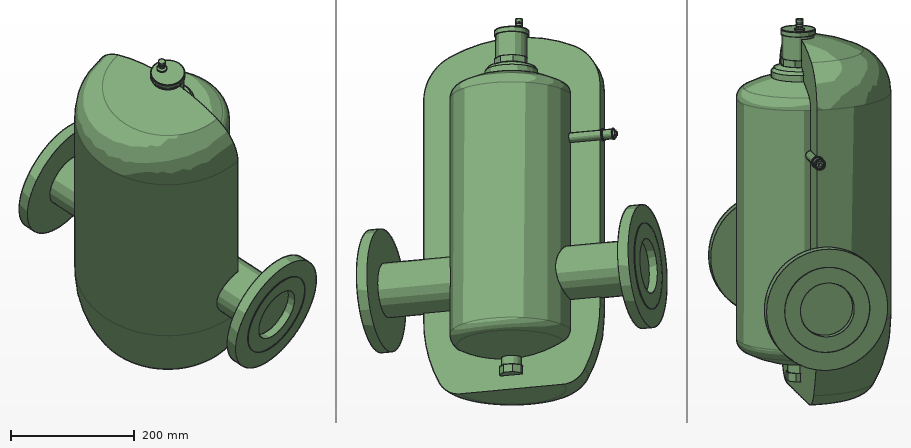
import cadquery as cq
import math


OVERALL_HEIGHT = 620.5
INSULATION_RADIUS = 150.0
INSULATION_BOTTOM_FLAT_RADIUS = 87.5
INSULATION_BOTTOM_KNUCKLE_RADIUS = 41.0
INSULATION_BOTTOM_KNUCKLE_TOP_Z = 22.0
INSULATION_WALL_BOTTOM_Z = 131.5
INSULATION_WALL_TOP_Z = 498.0
INSULATION_KNUCKLE_RADIUS = 76.5
INSULATION_DOME_EDGE_RADIUS = 105.5

VESSEL_RADIUS = 100.0
VESSEL_WALL_BOTTOM_Z = 92.0
VESSEL_WALL_TOP_Z = 488.0
VESSEL_KNUCKLE_RADIUS = 21.0
VESSEL_DOME_EDGE_RADIUS = 89.0

COLLAR_RADIUS = 43.5
COLLAR_WALL_TOP_Z = 533.5
COLLAR_SHOULDER_RADIUS = 39.0
COLLAR_SHOULDER_Z = 539.0
COLLAR_TOP_RADIUS = 28.0
COLLAR_TOP_Z = 543.5

PIPE_AXIS_Z = 185.5
PIPE_DIAMETER = 89.0
PIPE_RADIUS = PIPE_DIAMETER / 2
FLANGE_RADIUS = 100.0
FLANGE_THICKNESS = 18.0
RAISED_FACE_RADIUS = 70.0
RAISED_FACE_HEIGHT = 1.55
FACE_TO_FACE = 466.0
BORE_DEPTH = 13.5

VENT_NUT_ACROSS_FLATS = 52.0
VENT_NUT_HEIGHT = 11.0
VENT_TUBE_RADIUS = 26.0
VENT_CAP_RADIUS = 28.0
VENT_CAP_BOTTOM_Z = 594.0
VENT_CAP_TOP_Z = 602.5
VENT_CAP_CHAMFER = 1.0
BLEEDER_OFFSET = 12.5
BLEEDER_BASE_RADIUS = 8.0
BLEEDER_BASE_TOP_Z = 605.0
BLEEDER_STEM_RADIUS = 2.5
BLEEDER_HEAD_BOTTOM_Z = 609.0
BLEEDER_HEAD_RADIUS = 5.5
BLEEDER_GROOVE_RADIUS = 4.5
BLEEDER_GROOVE_BOTTOM_Z = 612.5
BLEEDER_GROOVE_TOP_Z = 615.0

DRAIN_RADIUS = 17.0
DRAIN_NUT_ACROSS_FLATS = 37.0
DRAIN_NUT_BOTTOM_Z = 23.5
DRAIN_NUT_TOP_Z = 37.0

VALVE_AXIS_Z = 413.0
VALVE_TIP_X = -179.5
VALVE_TIP_RADIUS = 3.0
VALVE_TIP_LENGTH = 2.5
VALVE_NOSE_RADIUS = 6.0
VALVE_NOSE_LENGTH = 3.0
VALVE_BODY_RADIUS = 8.0
VALVE_BODY_LENGTH = 15.5
VALVE_RIM_RADIUS = 9.0
VALVE_RIM_LENGTH = 1.0
VALVE_COLLAR_RADIUS = 10.0
VALVE_COLLAR_LENGTH = 2.5

OCTAGON_SIDES = 8


class DishedEnd:
    """Profile of a domed end: a knuckle arc tangent to the wall, then a dome tangent to the knuckle.

    Heights are measured from the end of the straight wall.
    """

    def __init__(self, wall_radius, knuckle_radius, dome_edge_radius):
        knuckle_centre = wall_radius - knuckle_radius
        cos_edge = (dome_edge_radius - knuckle_centre) / knuckle_radius
        edge_angle = math.acos(cos_edge)
        dome_radius = dome_edge_radius / cos_edge
        dome_centre_height = -knuckle_centre * math.tan(edge_angle)
        middle_angle = edge_angle / 2
        dome_middle_angle = (edge_angle + math.pi / 2) / 2

        self.knuckle_middle = (
            knuckle_centre + knuckle_radius * math.cos(middle_angle),
            knuckle_radius * math.sin(middle_angle),
        )
        self.dome_edge = (dome_edge_radius, knuckle_radius * math.sin(edge_angle))
        self.dome_middle = (
            dome_radius * math.cos(dome_middle_angle),
            dome_centre_height + dome_radius * math.sin(dome_middle_angle),
        )
        self.apex = (0, dome_centre_height + dome_radius)


def raised(point, wall_end_z):
    """A dished-end point placed above a wall that ends at wall_end_z."""
    return (point[0], wall_end_z + point[1])


def lowered(point, wall_end_z):
    """A dished-end point placed below a wall that ends at wall_end_z."""
    return (point[0], wall_end_z - point[1])


def cylinder_z(radius, bottom_z, top_z, x=0.0):
    return cq.Workplane("XY", origin=(x, 0, bottom_z)).circle(radius).extrude(top_z - bottom_z)


def cylinder_x(radius, start_x, length, axis_z):
    return cq.Workplane("YZ", origin=(start_x, 0, axis_z)).circle(radius).extrude(length)


def octagon_nut(across_flats, bottom_z, top_z):
    """Eight-sided nut on the Z axis with flats facing X and Y."""
    corner_diameter = across_flats / math.cos(math.pi / OCTAGON_SIDES)
    half_side_angle = 180 / OCTAGON_SIDES
    nut = cq.Workplane("XY").polygon(OCTAGON_SIDES, corner_diameter).extrude(top_z - bottom_z)
    return nut.rotate((0, 0, 0), (0, 0, 1), half_side_angle).translate((0, 0, bottom_z))


def make_vessel_tank():
    end = DishedEnd(VESSEL_RADIUS, VESSEL_KNUCKLE_RADIUS, VESSEL_DOME_EDGE_RADIUS)
    bottom_z = VESSEL_WALL_BOTTOM_Z
    top_z = VESSEL_WALL_TOP_Z
    return (
        cq.Workplane("XZ")
        .moveTo(*lowered(end.apex, bottom_z))
        .threePointArc(lowered(end.dome_middle, bottom_z), lowered(end.dome_edge, bottom_z))
        .threePointArc(lowered(end.knuckle_middle, bottom_z), (VESSEL_RADIUS, bottom_z))
        .lineTo(VESSEL_RADIUS, top_z)
        .threePointArc(raised(end.knuckle_middle, top_z), raised(end.dome_edge, top_z))
        .threePointArc(raised(end.dome_middle, top_z), raised(end.apex, top_z))
        .close()
        .revolve(360, (0, 0, 0), (0, 1, 0))
    )


def make_vessel_collar():
    return (
        cq.Workplane("XZ")
        .moveTo(0, VESSEL_WALL_TOP_Z)
        .lineTo(COLLAR_RADIUS, VESSEL_WALL_TOP_Z)
        .lineTo(COLLAR_RADIUS, COLLAR_WALL_TOP_Z)
        .lineTo(COLLAR_SHOULDER_RADIUS, COLLAR_SHOULDER_Z)
        .lineTo(COLLAR_TOP_RADIUS, COLLAR_TOP_Z)
        .lineTo(0, COLLAR_TOP_Z)
        .close()
        .revolve(360, (0, 0, 0), (0, 1, 0))
    )


def make_flanged_pipe():
    """Pipe along -X from the vessel axis, ending in a raised-face flange with a blind bore."""
    end_x = -FACE_TO_FACE / 2
    flange_face_x = end_x + RAISED_FACE_HEIGHT
    pipe = cylinder_x(PIPE_RADIUS, flange_face_x, -flange_face_x, PIPE_AXIS_Z)
    flange = cylinder_x(FLANGE_RADIUS, flange_face_x, FLANGE_THICKNESS, PIPE_AXIS_Z)
    raised_face = cylinder_x(RAISED_FACE_RADIUS, end_x, RAISED_FACE_HEIGHT, PIPE_AXIS_Z)
    bore = cylinder_x(PIPE_RADIUS, end_x, BORE_DEPTH, PIPE_AXIS_Z)
    return pipe.union(flange).union(raised_face).cut(bore)


def make_vessel():
    vessel = make_vessel_tank().union(make_vessel_collar())
    pipe = make_flanged_pipe()
    return vessel.union(pipe).union(pipe.mirror("YZ"))


def make_bleeder():
    """Small grooved screw that stands off-centre on the vent cap."""
    steps = [
        (BLEEDER_BASE_RADIUS, BLEEDER_BASE_TOP_Z),
        (BLEEDER_STEM_RADIUS, BLEEDER_HEAD_BOTTOM_Z),
        (BLEEDER_HEAD_RADIUS, BLEEDER_GROOVE_BOTTOM_Z),
        (BLEEDER_GROOVE_RADIUS, BLEEDER_GROOVE_TOP_Z),
        (BLEEDER_HEAD_RADIUS, OVERALL_HEIGHT),
    ]
    bleeder = cq.Workplane("XY")
    bottom_z = VENT_CAP_TOP_Z
    for radius, top_z in steps:
        bleeder = bleeder.union(cylinder_z(radius, bottom_z, top_z, -BLEEDER_OFFSET))
        bottom_z = top_z
    return bleeder


def make_air_vent():
    nut_top_z = COLLAR_TOP_Z + VENT_NUT_HEIGHT
    nut = octagon_nut(VENT_NUT_ACROSS_FLATS, COLLAR_TOP_Z, nut_top_z)
    tube = cylinder_z(VENT_TUBE_RADIUS, nut_top_z, VENT_CAP_BOTTOM_Z)
    cap = cylinder_z(VENT_CAP_RADIUS, VENT_CAP_BOTTOM_Z, VENT_CAP_TOP_Z)
    cap = cap.faces(">Z").chamfer(VENT_CAP_CHAMFER)
    return nut.union(tube).union(cap).union(make_bleeder())


def make_drain_plug(vessel):
    """Drain stub and nut, the top of the stub shaped to the vessel's domed bottom."""
    nut = octagon_nut(DRAIN_NUT_ACROSS_FLATS, DRAIN_NUT_BOTTOM_Z, DRAIN_NUT_TOP_Z)
    stub = cylinder_z(DRAIN_RADIUS, DRAIN_NUT_TOP_Z, VESSEL_WALL_BOTTOM_Z)
    return nut.union(stub).cut(vessel)


def make_side_valve(vessel):
    """Stepped valve along X, its inner end shaped to the vessel wall."""
    steps = [
        (VALVE_TIP_RADIUS, VALVE_TIP_LENGTH),
        (VALVE_NOSE_RADIUS, VALVE_NOSE_LENGTH),
        (VALVE_RIM_RADIUS, VALVE_RIM_LENGTH),
        (VALVE_BODY_RADIUS, VALVE_BODY_LENGTH),
        (VALVE_COLLAR_RADIUS, VALVE_COLLAR_LENGTH),
    ]
    valve = cq.Workplane("XY")
    start_x = VALVE_TIP_X
    for radius, length in steps:
        valve = valve.union(cylinder_x(radius, start_x, length, VALVE_AXIS_Z))
        start_x += length
    neck_end_x = -VESSEL_DOME_EDGE_RADIUS
    neck = cylinder_x(VALVE_BODY_RADIUS, start_x, neck_end_x - start_x, VALVE_AXIS_Z)
    return valve.union(neck).cut(vessel)


def make_insulation(enclosed_bodies):
    """Half shell on the -Y side, hollowed to fit the bodies it encloses."""
    end = DishedEnd(INSULATION_RADIUS, INSULATION_KNUCKLE_RADIUS, INSULATION_DOME_EDGE_RADIUS)
    top_z = INSULATION_WALL_TOP_Z

    knuckle_radius = INSULATION_BOTTOM_KNUCKLE_RADIUS
    knuckle_angle = math.acos(1 - INSULATION_BOTTOM_KNUCKLE_TOP_Z / knuckle_radius)
    knuckle_middle = (
        INSULATION_BOTTOM_FLAT_RADIUS + knuckle_radius * math.sin(knuckle_angle / 2),
        knuckle_radius * (1 - math.cos(knuckle_angle / 2)),
    )
    knuckle_end = (
        INSULATION_BOTTOM_FLAT_RADIUS + knuckle_radius * math.sin(knuckle_angle),
        INSULATION_BOTTOM_KNUCKLE_TOP_Z,
    )

    shell = (
        cq.Workplane("XZ")
        .lineTo(INSULATION_BOTTOM_FLAT_RADIUS, 0)
        .threePointArc(knuckle_middle, knuckle_end)
        .tangentArcPoint((INSULATION_RADIUS, INSULATION_WALL_BOTTOM_Z), relative=False)
        .lineTo(INSULATION_RADIUS, top_z)
        .threePointArc(raised(end.knuckle_middle, top_z), raised(end.dome_edge, top_z))
        .threePointArc(raised(end.dome_middle, top_z), raised(end.apex, top_z))
        .close()
        .revolve(180, (0, 0, 0), (0, -1, 0))
    )
    for body in enclosed_bodies:
        shell = shell.cut(body)
    return shell


vessel = make_vessel()
air_vent = make_air_vent()
drain_plug = make_drain_plug(vessel)
side_valve = make_side_valve(vessel)
insulation = make_insulation([vessel, air_vent, drain_plug, side_valve])

result = cq.Compound.makeCompound(
    [
        vessel.solids().val(),
        air_vent.solids().val(),
        drain_plug.solids().val(),
        side_valve.solids().val(),
        insulation.solids().val(),
    ]
)